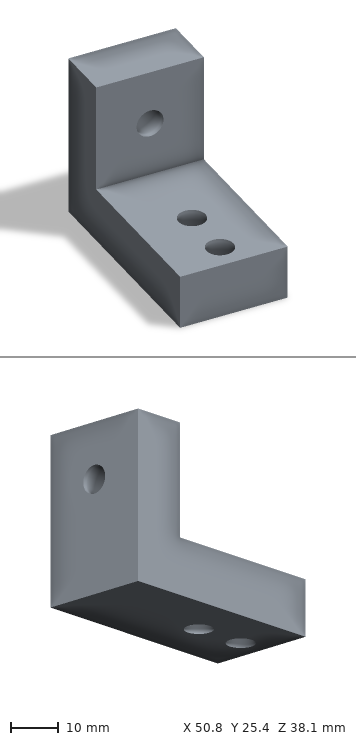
import cadquery as cq

thickness = 12.7
length = 4 * thickness
width = 2 * thickness
height = 3 * thickness
hole_diameter = thickness / 2

outer_base_hole_x = length - thickness / 2
base_hole_spacing = thickness
base_hole_xs = [outer_base_hole_x - base_hole_spacing, outer_base_hole_x]
upright_hole_z = height - thickness


def make_bracket():
    """L-shaped bracket: a flat base with an upright at its -X end."""
    base = cq.Workplane("XY").box(length, width, thickness, centered=(False, True, False))
    upright = cq.Workplane("XY").box(thickness, width, height, centered=(False, True, False))
    return base.union(upright).clean()


def make_base_hole(x):
    """Cutter for a vertical hole through the base, on the centre plane."""
    return cq.Workplane("XY").center(x, 0).circle(hole_diameter / 2).extrude(thickness)


def make_upright_hole():
    """Cutter for a hole along X through the upright, on the centre plane."""
    return cq.Workplane("YZ").center(0, upright_hole_z).circle(hole_diameter / 2).extrude(thickness)


result = make_bracket().cut(make_upright_hole())
for hole_x in base_hole_xs:
    result = result.cut(make_base_hole(hole_x))